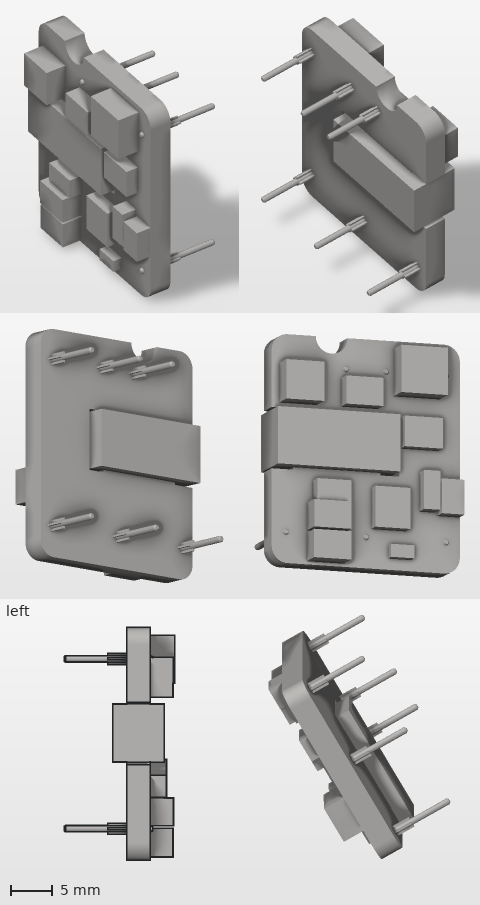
import cadquery as cq


BOARD_WIDTH = 23.9
BOARD_HEIGHT = 27.95
BOARD_THICKNESS = 2.85
CORNER_RADIUS = 2.0
NOTCH_RADIUS = 2.0
NOTCH_X = -4.33

CORE_LEFT, CORE_RIGHT = -11.73, 3.8
CORE_BOTTOM, CORE_TOP = -2.2, 4.78
CORE_FRONT, CORE_BACK = -1.68, 4.53
SLOT_RIGHT = 4.27
SLOT_BOTTOM, SLOT_TOP = -2.51, 4.97
GRIP_LEFT, GRIP_RIGHT = -9.16, 1.9

PIN_PITCH = 2.55
PIN_ROW_Z = 4 * PIN_PITCH
PIN_DIAMETER = 0.78
PIN_TIP = 10.35
PIN_TIP_CHAMFER = (0.2, 0.15)
PIN_HEAD_LENGTH = 0.3
PIN_HEAD_DIAMETER = 0.47
RIB_SPAN = 1.35
RIB_THICKNESS = 0.22
RIB_END = 5.1
PIN_PLACES = [
    (-PIN_PITCH, PIN_ROW_Z),
    (PIN_PITCH, PIN_ROW_Z),
    (4 * PIN_PITCH, PIN_ROW_Z),
    (-4 * PIN_PITCH, -PIN_ROW_Z),
    (0, -PIN_ROW_Z),
    (4 * PIN_PITCH, -PIN_ROW_Z),
]

COMPONENTS = [
    (-11.05, 5.55, 4.8, 4.8, 2.75),
    (-3.19, 5.55, 4.72, 3.45, 2.07),
    (3.5, 7.25, 5.9, 5.78, 2.93),
    (4.4, 0.92, 4.83, 3.75, 1.65),
    (6.73, -6.62, 2.07, 4.75, 1.95),
    (9.0, -7.0, 2.85, 4.25, 1.93),
    (0.65, -9.15, 4.45, 5.0, 1.65),
    (2.8, -12.6, 2.95, 1.6, 1.2),
    (-6.82, -6.43, 4.33, 2.68, 1.95),
    (-7.52, -9.83, 4.75, 3.35, 2.8),
    (-7.52, -13.58, 4.75, 3.46, 2.75),
]


def block(left, right, front, back, bottom, top):
    """Box between the given limits along X, Y and Z."""
    size = (right - left, back - front, top - bottom)
    return cq.Workplane("XY").box(*size, centered=False).translate((left, front, bottom))


def make_board():
    board = cq.Workplane("XY").box(BOARD_WIDTH, BOARD_THICKNESS, BOARD_HEIGHT)
    board = board.edges("|Y").fillet(CORNER_RADIUS)
    board = board.translate((0, BOARD_THICKNESS / 2, 0))
    notch = (
        cq.Workplane("XZ", origin=(NOTCH_X, 0, BOARD_HEIGHT / 2))
        .circle(NOTCH_RADIUS)
        .extrude(-BOARD_THICKNESS)
    )
    slot = block(-BOARD_WIDTH / 2, SLOT_RIGHT, 0, BOARD_THICKNESS, SLOT_BOTTOM, SLOT_TOP)
    grips = block(GRIP_LEFT, GRIP_RIGHT, 0, BOARD_THICKNESS, SLOT_BOTTOM, SLOT_TOP)
    return board.cut(notch).cut(slot).union(grips)


def make_core():
    return block(CORE_LEFT, CORE_RIGHT, CORE_FRONT, CORE_BACK, CORE_BOTTOM, CORE_TOP)


def make_component(left, bottom, width, height, depth):
    return block(left, left + width, -depth, 0, bottom, bottom + height)


def make_pin():
    """Pin along Y with a tapered head, a chamfered tip and four ribs behind the board."""
    radius = PIN_DIAMETER / 2
    tip_length, tip_inset = PIN_TIP_CHAMFER
    profile = [
        (0, -PIN_HEAD_LENGTH),
        (PIN_HEAD_DIAMETER / 2, -PIN_HEAD_LENGTH),
        (radius, 0),
        (radius, PIN_TIP - tip_length),
        (radius - tip_inset, PIN_TIP),
        (0, PIN_TIP),
    ]
    pin = cq.Workplane("XY").polyline(profile).close().revolve(360, (0, 0), (0, 1))
    half_span = RIB_SPAN / 2
    half_rib = RIB_THICKNESS / 2
    for half_x, half_z in [(half_span, half_rib), (half_rib, half_span)]:
        pin = pin.union(block(-half_x, half_x, 0, RIB_END, -half_z, half_z))
    return pin


result = make_board().union(make_core())
for component in COMPONENTS:
    result = result.union(make_component(*component))
pin = make_pin()
for x, z in PIN_PLACES:
    result = result.union(pin.translate((x, 0, z)))